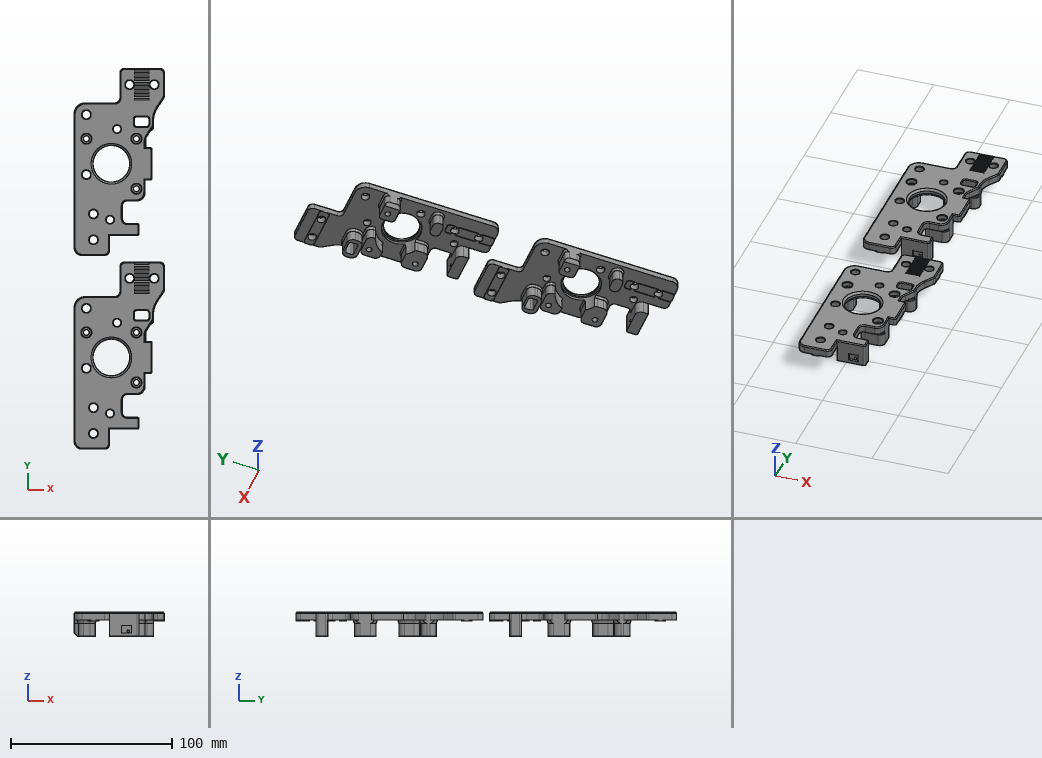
import cadquery as cq
import math

TOTAL_HEIGHT = 15.0
PLATE_THICKNESS = 5.0
PLATE_BOTTOM = TOTAL_HEIGHT - PLATE_THICKNESS

PLATE_WIDTH = 56.03
PLATE_LEFT = -23.15
PLATE_RIGHT = PLATE_LEFT + PLATE_WIDTH
PLATE_LENGTH = 116.0
PLATE_TOP = 59.15
PLATE_FOOT = PLATE_TOP - PLATE_LENGTH
BODY_TOP = 37.75
BODY_RIGHT = 20.75
BODY_FOOT = -23.05
NECK_LEFT = 5.2
STEP_RIGHT = 25.3
STEP_HALF_HEIGHT = 10.0
WAIST_RIGHT = 26.1
FOOT_RIGHT = -1.2
NOTCH_LEFT = 6.8
EDGE_CHAMFER = 0.7
SMALL_RADIUS = 1.3
CORNER_RADIUS = 3.0
FOOT_RADIUS = 5.0
BODY_TOP_RADIUS = 7.0

WAIST_START_Y, WAIST_START_RADIUS = 15.2, 8.0
WAIST_LOW_Y, WAIST_LOW_RADIUS = 23.4, 1.0
WAIST_HIGH_Y, WAIST_HIGH_RADIUS = 31.0, 15.0
CLAMP_END_FOOT = 41.2

TAB_RIGHT = 17.25
TAB_FRONT = -44.4
TAB_BACK = -37.0
TAB_BACK_LEFT_RADIUS = 4.0
POCKET_LEFT, POCKET_RIGHT = 6.3, 12.6
POCKET_BOTTOM, POCKET_TOP = 2.1, 6.8
POCKET_DEPTH = 1.5
PIN_HOLE_DIAMETER = 1.5
PIN_HOLE_X = 10.5
PIN_HOLE_Z = 3.2

SCREW_SPACING = 31.0
SCREW_OFFSET = SCREW_SPACING / 2
PILOT_DIAMETER = 22.6
PILOT_CHAMFER = 1.3
RECESS_DIAMETER = 25.0
RECESS_DEPTH = 2.0
SCREW_DIAMETER = 3.5
SCREW_HEAD_DIAMETER = 6.0
SCREW_HEAD_DEPTH = 3.0
SCREW_POINTS = [
    (-SCREW_OFFSET, SCREW_OFFSET),
    (SCREW_OFFSET, SCREW_OFFSET),
    (SCREW_OFFSET, -SCREW_OFFSET),
]
SCREW_HEAD_CHAMFER = 0.4

CLAMP_X = 18.9
CLAMP_Y = 49.0
CLAMP_SPACING = 15.2
FOOT_HOLE_X = -11.1
FOOT_HOLE_ROWS = [-47.1, -31.1]
LARGE_HOLE_DIAMETER = 5.2
LARGE_HOLE_CHAMFER = 0.4
LARGE_HOLE_POINTS = [
    (CLAMP_X - CLAMP_SPACING / 2, CLAMP_Y),
    (CLAMP_X + CLAMP_SPACING / 2, CLAMP_Y),
    (-SCREW_OFFSET, 30.4),
    (-SCREW_OFFSET, -6.7),
] + [(FOOT_HOLE_X, y) for y in FOOT_HOLE_ROWS]
SMALL_HOLE_DIAMETER = 4.7
SMALL_HOLE_CHAMFER = 0.35
SMALL_HOLE_POINTS = [(3.5, 21.5), (-0.85, -34.7)]

GROOVE_COUNT = 10
GROOVE_PITCH = 2.0
GROOVE_WIDTH = 0.9
GROOVE_DEPTH = 0.75
GROOVE_LENGTH = 9.1

WINDOW_LEFT, WINDOW_RIGHT = 14.2, 23.2
WINDOW_FRONT, WINDOW_BACK = 23.1, 29.0
WINDOW_RADIUS = 1.4
WINDOW_CHAMFER = 0.6

BAR_HEIGHT = 0.6
BAR_WIDTH = 6.6
BAR_RADIUS = 1.7
FOOT_BAR_END = -25.3
BAR_GAP = 2.8

LEFT_POST = (PLATE_LEFT, -10.3, 9.4, 19.8, 2.6)
BACK_POST = (5.7, BODY_RIGHT, 7.0, 20.0, 3.5)
FRONT_POST = (5.2, BODY_RIGHT, -20.6, -7.0, 3.5, 3.5, 3.5, 6.0)
CORNER_POST = (-20.5, -9.9, -20.6, -13.9, 3.3)
WINDOW_POST = (11.5, WAIST_RIGHT, 20.5, 30.3, 4.0)
BACK_POST_CLEARANCE_RADIUS = 16.2
FLARE = 0.7
FLARE_HEIGHT = 2.0
LEFT_POST_CHAMFER = 2.2

COPY_SPACING = 120.0


def rounded_outline(corners):
    """Closed wire through (x, y, radius) corners, each rounded with a tangent arc."""
    spans = []
    for i, (x, y, radius) in enumerate(corners):
        before = corners[i - 1]
        after = corners[(i + 1) % len(corners)]
        angle_back = math.atan2(before[1] - y, before[0] - x)
        angle_ahead = math.atan2(after[1] - y, after[0] - x)
        turn = math.remainder(angle_ahead - angle_back, 2 * math.pi)
        bisector = angle_back + turn / 2
        half = abs(turn) / 2
        reach = radius / math.tan(half)
        middle = radius / math.sin(half) - radius
        start = (x + reach * math.cos(angle_back), y + reach * math.sin(angle_back))
        mid = (x + middle * math.cos(bisector), y + middle * math.sin(bisector))
        end = (x + reach * math.cos(angle_ahead), y + reach * math.sin(angle_ahead))
        spans.append((start, mid, end, radius))
    outline = cq.Workplane("XY").moveTo(*spans[0][2])
    for start, mid, end, radius in spans[1:] + spans[:1]:
        outline = outline.lineTo(*start)
        if radius:
            outline = outline.threePointArc(mid, end)
    return outline.close()


def bare_plate():
    """Plate body, chamfered around its top face."""
    corners = [
        (PLATE_LEFT, PLATE_FOOT, FOOT_RADIUS),
        (FOOT_RIGHT, PLATE_FOOT, CORNER_RADIUS),
        (FOOT_RIGHT, TAB_FRONT, 0),
        (TAB_RIGHT, TAB_FRONT, SMALL_RADIUS),
        (TAB_RIGHT, TAB_BACK, SMALL_RADIUS),
        (NOTCH_LEFT, TAB_BACK, CORNER_RADIUS),
        (NOTCH_LEFT, BODY_FOOT, CORNER_RADIUS),
        (BODY_RIGHT, BODY_FOOT, FOOT_RADIUS),
        (BODY_RIGHT, -STEP_HALF_HEIGHT, 0),
        (STEP_RIGHT, -STEP_HALF_HEIGHT, SMALL_RADIUS),
        (STEP_RIGHT, STEP_HALF_HEIGHT, SMALL_RADIUS),
        (BODY_RIGHT, STEP_HALF_HEIGHT, 0),
        (BODY_RIGHT, WAIST_START_Y, WAIST_START_RADIUS),
        (WAIST_RIGHT, WAIST_LOW_Y, WAIST_LOW_RADIUS),
        (WAIST_RIGHT, WAIST_HIGH_Y, WAIST_HIGH_RADIUS),
        (PLATE_RIGHT, CLAMP_END_FOOT, CORNER_RADIUS),
        (PLATE_RIGHT, PLATE_TOP, CORNER_RADIUS),
        (NECK_LEFT, PLATE_TOP, CORNER_RADIUS),
        (NECK_LEFT, BODY_TOP, CORNER_RADIUS),
        (PLATE_LEFT, BODY_TOP, BODY_TOP_RADIUS),
    ]
    plate = rounded_outline(corners).extrude(PLATE_THICKNESS).translate((0, 0, PLATE_BOTTOM))
    return plate.faces(">Z").chamfer(EDGE_CHAMFER)


def block(left, right, front, back, bottom, top):
    """Box from its six limits."""
    box = cq.Workplane("XY").box(right - left, back - front, top - bottom, centered=False)
    return box.translate((left, front, bottom))


def rectangle_corners(left, right, front, back, radii):
    """Rectangle corners, counter-clockwise from front left, each with its radius."""
    points = [(left, front), (right, front), (right, back), (left, back)]
    return [(x, y, radius) for (x, y), radius in zip(points, radii)]


def flare(limits, radii, growth, bottom, top):
    """Rounded rectangle that grows by the same amount on every side from bottom to top."""
    left, right, front, back = limits
    small = rectangle_corners(left, right, front, back, radii)
    large = rectangle_corners(
        left - growth, right + growth, front - growth, back + growth, [radius + growth for radius in radii]
    )
    start = rounded_outline(small).val().translate(cq.Vector(0, 0, bottom))
    end = rounded_outline(large).val().translate(cq.Vector(0, 0, top))
    return cq.Workplane(obj=cq.Solid.makeLoft([start, end], True))


def post(left, right, front, back, *radii):
    """Post with rounded corners, flared where it meets the plate.

    One radius serves all four corners; four radii run counter-clockwise from front left.
    """
    if len(radii) == 1:
        radii = radii * 4
    limits = (left, right, front, back)
    shaft_top = PLATE_BOTTOM - FLARE_HEIGHT
    shaft = rounded_outline(rectangle_corners(*limits, radii)).extrude(shaft_top)
    return shaft.union(flare(limits, radii, FLARE, shaft_top, PLATE_BOTTOM))


def left_post():
    """Post flush with the left side of the plate, its outer bottom edge chamfered."""
    shape = post(*LEFT_POST)
    reach = LEFT_POST_CHAMFER
    corner = cq.Workplane("XZ").polyline(
        [(PLATE_LEFT, 0), (PLATE_LEFT + reach, 0), (PLATE_LEFT, reach)]
    ).close().extrude(PLATE_LENGTH, both=True)
    beyond_plate = block(
        PLATE_LEFT - PLATE_WIDTH, PLATE_LEFT, PLATE_FOOT, PLATE_TOP, 0, TOTAL_HEIGHT
    )
    return shape.cut(corner).cut(beyond_plate)


def right_posts():
    """The two screw posts and the window post, trimmed to the right side of the plate."""
    clearance = cq.Workplane("XY").circle(BACK_POST_CLEARANCE_RADIUS).extrude(PLATE_BOTTOM)
    posts = post(*BACK_POST).cut(clearance)
    posts = posts.union(post(*WINDOW_POST)).union(post(*FRONT_POST))
    front, back = FRONT_POST[2] - FLARE, FRONT_POST[3] + FLARE
    posts = posts.cut(block(BODY_RIGHT, PLATE_RIGHT, front, back, 0, TOTAL_HEIGHT))
    return posts.cut(block(WAIST_RIGHT, PLATE_RIGHT, BACK_POST[2], PLATE_TOP, 0, TOTAL_HEIGHT))


def tab():
    """Deep tab with a shallow pocket in its front face and a pin hole through it."""
    shape = block(FOOT_RIGHT, TAB_RIGHT, TAB_FRONT, TAB_BACK, 0, PLATE_BOTTOM)
    shape = shape.edges("|Z and >X").fillet(SMALL_RADIUS)
    shape = shape.edges("|Z and <X and >Y").fillet(TAB_BACK_LEFT_RADIUS)
    pocket = block(
        POCKET_LEFT, POCKET_RIGHT, TAB_FRONT, TAB_FRONT + POCKET_DEPTH, POCKET_BOTTOM, POCKET_TOP
    )
    pin_hole = cq.Workplane("XZ", origin=(PIN_HOLE_X, TAB_FRONT, PIN_HOLE_Z))
    pin_hole = pin_hole.circle(PIN_HOLE_DIAMETER / 2).extrude(TAB_FRONT - TAB_BACK)
    return shape.cut(pocket).cut(pin_hole)


def raised_bars():
    """Low bars under the plate: one across the clamp end, one along the foot with gaps at its holes."""
    bottom = PLATE_BOTTOM - BAR_HEIGHT
    half = BAR_WIDTH / 2
    clamp_bar = block(NECK_LEFT, PLATE_RIGHT, CLAMP_Y - half, CLAMP_Y + half, bottom, PLATE_BOTTOM)
    foot_left, foot_right = FOOT_HOLE_X - half, FOOT_HOLE_X + half
    foot_bar = block(foot_left, foot_right, PLATE_FOOT, FOOT_BAR_END, bottom, PLATE_BOTTOM)
    bars = clamp_bar.edges("|Z").fillet(BAR_RADIUS).union(foot_bar.edges("|Z").fillet(BAR_RADIUS))
    for y in FOOT_HOLE_ROWS:
        gap = block(foot_left, foot_right, y - BAR_GAP / 2, y + BAR_GAP / 2, bottom, PLATE_BOTTOM)
        bars = bars.cut(gap)
    return bars


def vertical_hole(point, diameter, chamfer=0.0, floor=0.0):
    """Cutter for a round hole from the top face down to the floor, chamfered at the top."""
    x, y = point
    radius = diameter / 2
    cutter = cq.Workplane("XY", origin=(x, y, floor)).circle(radius).extrude(TOTAL_HEIGHT - floor)
    if chamfer:
        cone_base = cq.Vector(x, y, TOTAL_HEIGHT - chamfer)
        cone = cq.Solid.makeCone(radius, radius + chamfer, chamfer, cone_base)
        cutter = cutter.union(cq.Workplane(obj=cone))
    return cutter


def motor_opening():
    """Chamfered opening for the motor pilot, wider on the motor side."""
    opening = vertical_hole((0, 0), PILOT_DIAMETER, PILOT_CHAMFER, PLATE_BOTTOM)
    recess = cq.Workplane("XY").circle(RECESS_DIAMETER / 2).extrude(PLATE_BOTTOM + RECESS_DEPTH)
    return opening.union(recess)


def round_holes():
    """All screw holes and plain holes as one list of cutters."""
    head_floor = TOTAL_HEIGHT - SCREW_HEAD_DEPTH
    cutters = [vertical_hole(point, SCREW_DIAMETER) for point in SCREW_POINTS]
    for point in SCREW_POINTS:
        cutters.append(vertical_hole(point, SCREW_HEAD_DIAMETER, SCREW_HEAD_CHAMFER, head_floor))
    for point in LARGE_HOLE_POINTS:
        cutters.append(vertical_hole(point, LARGE_HOLE_DIAMETER, LARGE_HOLE_CHAMFER))
    for point in SMALL_HOLE_POINTS:
        cutters.append(vertical_hole(point, SMALL_HOLE_DIAMETER, SMALL_HOLE_CHAMFER))
    return cutters


def window():
    """Rounded window through the plate and its post, chamfered at the top."""
    limits = (WINDOW_LEFT, WINDOW_RIGHT, WINDOW_FRONT, WINDOW_BACK)
    radii = [WINDOW_RADIUS] * 4
    opening = rounded_outline(rectangle_corners(*limits, radii)).extrude(TOTAL_HEIGHT)
    rim_bottom = TOTAL_HEIGHT - WINDOW_CHAMFER
    return opening.union(flare(limits, radii, WINDOW_CHAMFER, rim_bottom, TOTAL_HEIGHT))


def belt_grooves():
    """Row of straight grooves across the clamp end, centred on the clamp holes."""
    left, right = CLAMP_X - GROOVE_LENGTH / 2, CLAMP_X + GROOVE_LENGTH / 2
    floor = TOTAL_HEIGHT - GROOVE_DEPTH
    first_front = CLAMP_Y - (GROOVE_COUNT - 1) / 2 * GROOVE_PITCH - GROOVE_WIDTH / 2
    cutters = []
    for i in range(GROOVE_COUNT):
        front = first_front + i * GROOVE_PITCH
        cutters.append(block(left, right, front, front + GROOVE_WIDTH, floor, TOTAL_HEIGHT))
    return cutters


def motor_plate():
    """Complete plate with its posts, tab, holes and belt grooves."""
    shape = bare_plate()
    for feature in (left_post(), right_posts(), post(*CORNER_POST), tab(), raised_bars()):
        shape = shape.union(feature)
    for cutter in [motor_opening(), window()] + round_holes() + belt_grooves():
        shape = shape.cut(cutter)
    return shape


TOTAL_LENGTH = PLATE_LENGTH + COPY_SPACING
first_plate_y = TOTAL_LENGTH / 2 - PLATE_TOP
plate = motor_plate()
plates = [plate.translate((0, first_plate_y - i * COPY_SPACING, 0)) for i in range(2)]

result = cq.Compound.makeCompound([copy.val() for copy in plates])